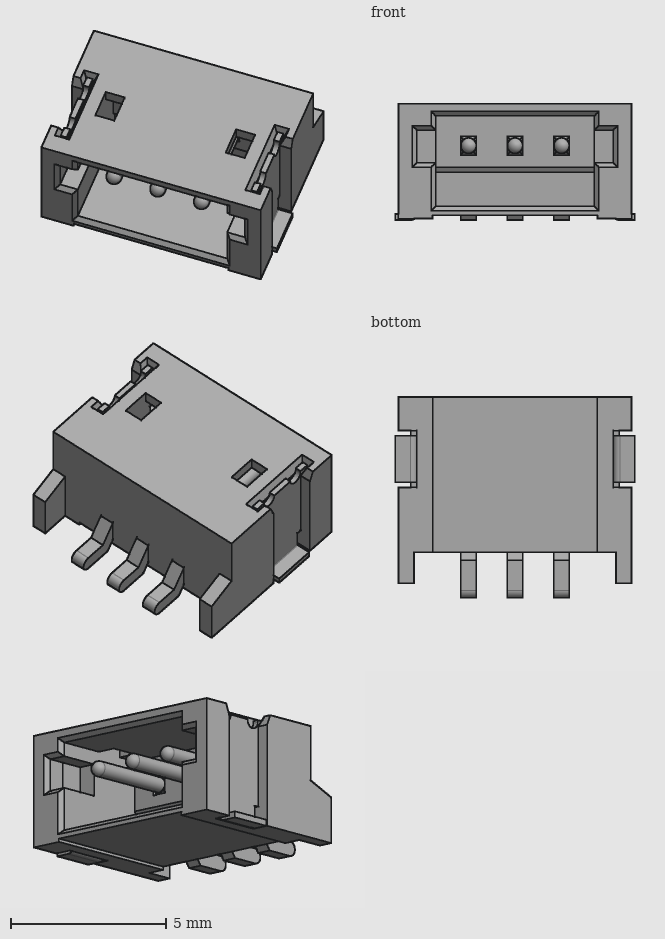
import cadquery as cq
import math


overall_width = 7.71
overall_depth = 6.47
overall_height = 3.75

housing_width = 7.5
housing_depth = 5.0
housing_bottom = 0.05
arm_end = 6.0
arm_width = 0.5
arm_root_top = 1.94
arm_end_top = 1.56
relief_width = 5.3
relief_top = 0.155

cavity_width = 5.105
cavity_bottom = 0.45
cavity_top = 3.35
cavity_depth = 3.53
wing_width = 6.315
wing_bottom = 1.85
wing_top = 2.9
wing_depth = 1.59
lead_in = 0.15
recess_bevel_top = 1.7
recess_bevel_height = 0.16
recess_extra_depth = 0.11

window_width = 0.65
window_length = 0.995
window_center_y = 2.305

nail_thickness = 0.2
nail_inner_x = wing_width / 2
nail_outer_x = nail_inner_x + nail_thickness
nail_length = 2.5
nail_center_y = 2.0
nail_shoulder_top = 3.615
nail_tab_top = 3.555
nail_tab_length = 0.8
notch_diameter = 0.5
foot_length = 1.5
foot_neck_top = 0.75
foot_bend_inner_radius = 0.01
slot_opening_length = 1.82
slot_chamfer_width = 0.15
slot_chamfer_height = 0.35

pin_pitch = 1.495
pin_count = 3
pin_diameter = 0.5
pin_axis_z = 2.4
pin_tip_y = 0.39
root_height = 0.61
root_y = 3.7
tail_thickness = 0.5
tail_bend_y = 5.5
leg_angle = 52.0


def box(x_min, x_max, y_min, y_max, z_min, z_max):
    return cq.Workplane("XY").box(
        x_max - x_min, y_max - y_min, z_max - z_min, centered=False
    ).translate((x_min, y_min, z_min))


def centered_box(width, y_min, y_max, z_min, z_max):
    return box(-width / 2, width / 2, y_min, y_max, z_min, z_max)


def mirrored(shape):
    """Return a shape together with its mirror image across X = 0."""
    return shape.union(shape.mirror("YZ"))



def leg_and_tail():
    """Root block, sloped leg and round-ended flat tail, centred on X = 0."""
    slope = math.tan(math.radians(leg_angle))
    root_top = pin_axis_z + root_height / 2
    root_bottom = pin_axis_z - root_height / 2
    bottom_bend_y = tail_bend_y - tail_thickness * math.tan(math.radians(leg_angle / 2))
    tail_round_y = overall_depth - tail_thickness / 2
    return (
        cq.Workplane("YZ")
        .moveTo(root_y, root_top)
        .lineTo(tail_bend_y - (root_top - tail_thickness) / slope, root_top)
        .lineTo(tail_bend_y, tail_thickness)
        .lineTo(tail_round_y, tail_thickness)
        .threePointArc((overall_depth, tail_thickness / 2), (tail_round_y, 0))
        .lineTo(bottom_bend_y, 0)
        .lineTo(bottom_bend_y - root_bottom / slope, root_bottom)
        .lineTo(root_y, root_bottom)
        .close()
        .extrude(pin_diameter / 2, both=True)
    )


def contact_pin():
    """Round-nosed pin whose shank blends from a circle into the rectangular root."""
    radius = pin_diameter / 2
    nose_y = pin_tip_y + radius
    shank = (
        cq.Workplane("XZ", origin=(0, nose_y, pin_axis_z))
        .circle(radius)
        .extrude(nose_y - cavity_depth)
    )
    nose = cq.Workplane("XY").sphere(radius, direct=(0, 1, 0)).translate((0, nose_y, pin_axis_z))
    blend = (
        cq.Workplane("XZ", origin=(0, cavity_depth, pin_axis_z))
        .circle(radius)
        .workplane(offset=cavity_depth - root_y)
        .rect(pin_diameter, root_height)
        .loft(combine=True)
    )
    return shank.union(nose).union(blend).union(leg_and_tail())


def pin_positions():
    return [(i - (pin_count - 1) / 2) * pin_pitch for i in range(pin_count)]



def fitting_nail():
    """Left nail: a notched upright plate bent outward into a solder foot."""
    plate = box(
        -nail_outer_x, -nail_inner_x,
        nail_center_y - nail_length / 2, nail_center_y + nail_length / 2,
        foot_neck_top, nail_shoulder_top,
    )
    tab_gap = box(
        -nail_outer_x, -nail_inner_x,
        nail_center_y - nail_tab_length / 2 - notch_diameter,
        nail_center_y + nail_tab_length / 2 + notch_diameter,
        nail_tab_top, nail_shoulder_top,
    )
    notch_offset = (nail_tab_length + notch_diameter) / 2
    notches = (
        cq.Workplane("YZ", origin=(-nail_outer_x, nail_center_y, nail_tab_top))
        .pushPoints([(-notch_offset, 0), (notch_offset, 0)])
        .circle(notch_diameter / 2)
        .extrude(nail_thickness)
    )

    bend_x = -nail_outer_x - foot_bend_inner_radius
    bend_z = nail_thickness + foot_bend_inner_radius
    outer_radius = nail_thickness + foot_bend_inner_radius
    diagonal = math.sqrt(0.5)
    foot = (
        cq.Workplane("XZ", origin=(0, nail_center_y, 0))
        .moveTo(-overall_width / 2, 0)
        .lineTo(bend_x, 0)
        .threePointArc(
            (bend_x + outer_radius * diagonal, bend_z - outer_radius * diagonal),
            (-nail_inner_x, bend_z),
        )
        .lineTo(-nail_inner_x, foot_neck_top)
        .lineTo(-nail_outer_x, foot_neck_top)
        .lineTo(-nail_outer_x, bend_z)
        .threePointArc(
            (bend_x + foot_bend_inner_radius * diagonal, bend_z - foot_bend_inner_radius * diagonal),
            (bend_x, nail_thickness),
        )
        .lineTo(-overall_width / 2, nail_thickness)
        .close()
        .extrude(foot_length / 2, both=True)
    )
    return plate.cut(tab_gap).cut(notches).union(foot)



def outer_block():
    block = centered_box(housing_width, 0, housing_depth, housing_bottom, overall_height)
    arm = (
        cq.Workplane("YZ", origin=(-housing_width / 2, 0, 0))
        .moveTo(housing_depth, housing_bottom)
        .lineTo(arm_end, housing_bottom)
        .lineTo(arm_end, arm_end_top)
        .lineTo(housing_depth, arm_root_top)
        .close()
        .extrude(arm_width)
    )
    relief = centered_box(relief_width, 0, housing_depth, housing_bottom, relief_top)
    return block.union(mirrored(arm)).cut(relief)


def mouth_opening(width, z_min, z_max, depth):
    """Rectangular pocket from the mating face with a 45 degree lead-in."""
    height = z_max - z_min
    center_z = (z_min + z_max) / 2
    pocket = centered_box(width, 0, depth, z_min, z_max)
    flare = (
        cq.Workplane("XZ", origin=(0, 0, center_z))
        .rect(width + 2 * lead_in, height + 2 * lead_in)
        .extrude(-lead_in, taper=45)
    )
    return pocket.union(flare)


def cavity():
    """Main opening, side keyways and the set-back lower part of the rear wall."""
    recess = (
        cq.Workplane("YZ")
        .moveTo(cavity_depth, cavity_bottom)
        .lineTo(cavity_depth + recess_extra_depth, cavity_bottom)
        .lineTo(cavity_depth + recess_extra_depth, recess_bevel_top - recess_bevel_height)
        .lineTo(cavity_depth, recess_bevel_top)
        .close()
        .extrude(cavity_width / 2, both=True)
    )
    main = mouth_opening(cavity_width, cavity_bottom, cavity_top, cavity_depth)
    wings = mouth_opening(wing_width, wing_bottom, wing_top, wing_depth)
    return main.union(wings).union(recess)


def roof_window():
    outer_x = cavity_width / 2
    return box(
        -outer_x, window_width - outer_x,
        window_center_y - window_length / 2, window_center_y + window_length / 2,
        cavity_top, overall_height,
    )


def nail_slot():
    """Left T-shaped slot, chamfered at the roof; its wide part ends where the nail narrows."""
    side_x = -housing_width / 2
    slot_y = (nail_center_y - nail_length / 2, nail_center_y + nail_length / 2)
    opening_y = (nail_center_y - slot_opening_length / 2, nail_center_y + slot_opening_length / 2)
    slot = box(-nail_outer_x, -nail_inner_x, *slot_y, foot_neck_top, overall_height)
    opening = box(side_x, -nail_inner_x, *opening_y, housing_bottom, overall_height)

    taper = math.degrees(math.atan(slot_chamfer_width / slot_chamfer_height))
    roof = cq.Workplane("XY", origin=(0, nail_center_y, overall_height))
    slot_flare = (
        roof.center(-(nail_inner_x + nail_outer_x) / 2, 0)
        .rect(nail_thickness + 2 * slot_chamfer_width, nail_length + 2 * slot_chamfer_width)
        .extrude(-slot_chamfer_height, taper=taper)
    )
    opening_flare = (
        roof.center(side_x, 0)
        .rect(
            2 * (-nail_inner_x - side_x + slot_chamfer_width),
            slot_opening_length + 2 * slot_chamfer_width,
        )
        .extrude(-slot_chamfer_height, taper=taper)
    )
    return slot.union(opening).union(slot_flare).union(opening_flare)


def pin_passage():
    """Passage for one pin: a rectangular hole in the rear wall, then a fit around the leg."""
    hole = centered_box(
        pin_diameter, cavity_depth, root_y,
        pin_axis_z - root_height / 2, pin_axis_z + root_height / 2,
    )
    return hole.union(leg_and_tail())


def housing_body():
    body = outer_block().cut(cavity())
    body = body.cut(mirrored(roof_window())).cut(mirrored(nail_slot()))
    for x in pin_positions():
        body = body.cut(pin_passage().translate((x, 0, 0)))
    return body



housing = housing_body()
nails = [fitting_nail(), fitting_nail().mirror("YZ")]
pins = [contact_pin().translate((x, 0, 0)) for x in pin_positions()]

result = cq.Compound.makeCompound([
    *housing.solids().vals(),
    *[solid for nail in nails for solid in nail.solids().vals()],
    *[solid for pin in pins for solid in pin.solids().vals()],
])